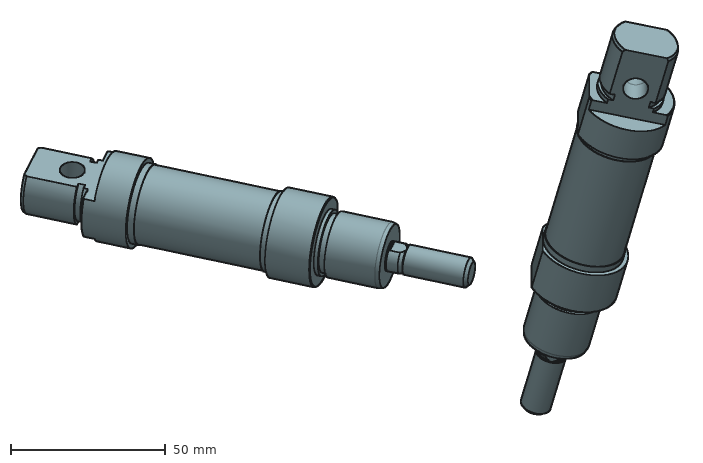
import cadquery as cq

OVERALL_LENGTH = 150.0

HEAD_DIAMETER = 30.0
HEAD_FLAT_Y = 13.5
HEAD_CHAMFER = 0.3
COLLAR_DIAMETER = 26.8
COLLAR_LENGTH = 2.2
NOSE_DIAMETER = 22.0
NOSE_CHAMFER_DEPTH = 0.5
RELIEF_DIAMETER = 19.8
RELIEF_WIDTH = 2.2

REAR_NOSE_LENGTH = 21.9
REAR_HEAD_LENGTH = 15.3
REAR_LAND_LENGTH = 1.5
REAR_CHAMFER_LENGTH = 1.0
TANG_LENGTH = 25.8
TANG_THICKNESS = 15.9
PIVOT_X = 14.1
PIVOT_DIAMETER = 8.1

TUBE_LENGTH = 42.9
TUBE_DIAMETER = 26.4

FRONT_HEAD_LENGTH = 15.3
FRONT_NOSE_LENGTH = 22.2
FRONT_LAND_LENGTH = 1.4
FRONT_CHAMFER_LENGTH = 1.5
SNOUT_LENGTH = 0.5

ROD_DIAMETER = 10.0
ROD_SHANK_LENGTH = 5.2
ROD_FLAT_OFFSET = 0.5
ROD_FLAT_WIDTH = 8.8
ROD_TAPER_LENGTH = 1.4
ROD_NECK_DIAMETER = 9.0
ROD_NECK_LENGTH = 0.3
ROD_TIP_CHAMFER = 1.2

REAR_HEAD_END = REAR_NOSE_LENGTH + REAR_HEAD_LENGTH
TUBE_START = REAR_HEAD_END + COLLAR_LENGTH
TUBE_END = TUBE_START + TUBE_LENGTH
FRONT_HEAD_START = TUBE_END + COLLAR_LENGTH
FRONT_HEAD_END = FRONT_HEAD_START + FRONT_HEAD_LENGTH
FRONT_NOSE_END = FRONT_HEAD_END + FRONT_NOSE_LENGTH
ROD_START = FRONT_NOSE_END + SNOUT_LENGTH


def cylinder(start, end, diameter):
    """Cylinder around the X axis between two stations."""
    return cq.Workplane("YZ", origin=(start, 0, 0)).circle(diameter / 2).extrude(end - start)


def slab(start, end, thickness, middle_y=0):
    """Block wider than the part in Y, between two X stations, of the given Z thickness."""
    return cq.Workplane("XY").box(end - start, 2 * HEAD_DIAMETER, thickness).translate(
        ((start + end) / 2, middle_y, 0)
    )


def outside_flats(start, end, width):
    """Two blocks that, cut away, leave parallel flats facing +Z and -Z."""
    around = slab(start, end, 2 * HEAD_DIAMETER)
    return around.cut(slab(start, end, width))


def head(start, end, chamfered_face):
    """Large round part of a cap, chamfered at its nose end and flat on its +Y side."""
    body = cylinder(start, end, HEAD_DIAMETER).faces(chamfered_face).chamfer(HEAD_CHAMFER)
    beyond_flat = slab(start, end, 2 * HEAD_DIAMETER, middle_y=HEAD_FLAT_Y + HEAD_DIAMETER)
    return body.cut(beyond_flat)


def nose(length, land_length, chamfer_length):
    """Mounting nose from X = 0 to its chamfered tip, with a relief groove after a short land."""
    radius = NOSE_DIAMETER / 2
    relief_radius = RELIEF_DIAMETER / 2
    relief_end = land_length + RELIEF_WIDTH
    profile = [
        (0, 0),
        (0, radius),
        (land_length, radius),
        (land_length, relief_radius),
        (relief_end, relief_radius),
        (relief_end, radius),
        (length - chamfer_length, radius),
        (length, radius - NOSE_CHAMFER_DEPTH),
        (length, 0),
    ]
    return cq.Workplane("XY").polyline(profile).close().revolve(360, (0, 0, 0), (1, 0, 0))


def make_rear_cap():
    """Rear end cap whose nose is flattened to a tang with a pivot hole along Z."""
    rear_nose = nose(REAR_NOSE_LENGTH, REAR_LAND_LENGTH, REAR_CHAMFER_LENGTH)
    rear_nose = rear_nose.mirror("YZ").translate((REAR_NOSE_LENGTH, 0, 0))
    cap = rear_nose.union(head(REAR_NOSE_LENGTH, REAR_HEAD_END, "<X"))
    cap = cap.union(cylinder(REAR_HEAD_END, TUBE_START, COLLAR_DIAMETER))
    cap = cap.cut(outside_flats(0, TANG_LENGTH, TANG_THICKNESS))
    pivot_hole = (
        cq.Workplane("XY")
        .center(PIVOT_X, 0)
        .circle(PIVOT_DIAMETER / 2)
        .extrude(TANG_THICKNESS, both=True)
    )
    return cap.cut(pivot_hole)


def make_tube():
    """Barrel between the collars of the two caps."""
    return cylinder(TUBE_START, TUBE_END, TUBE_DIAMETER)


def make_front_cap():
    """Front end cap with a short snout, as wide as the rod, where the rod leaves it."""
    front_nose = nose(FRONT_NOSE_LENGTH, FRONT_LAND_LENGTH, FRONT_CHAMFER_LENGTH)
    cap = front_nose.translate((FRONT_HEAD_END, 0, 0))
    cap = cap.union(head(FRONT_HEAD_START, FRONT_HEAD_END, ">X"))
    cap = cap.union(cylinder(TUBE_END, FRONT_HEAD_START, COLLAR_DIAMETER))
    snout = cylinder(FRONT_NOSE_END, ROD_START, ROD_DIAMETER)
    return cap.union(snout)


def make_rod():
    """Rod end with wrench flats on its shank, a tapered neck and a chamfered tip."""
    radius = ROD_DIAMETER / 2
    neck_radius = ROD_NECK_DIAMETER / 2
    neck_start = ROD_START + ROD_SHANK_LENGTH
    neck_end = neck_start + ROD_NECK_LENGTH
    taper_start = neck_start - ROD_TAPER_LENGTH
    profile = [
        (ROD_START, 0),
        (ROD_START, radius),
        (taper_start, radius),
        (neck_start, neck_radius),
        (neck_end, neck_radius),
        (neck_end, radius),
        (OVERALL_LENGTH - ROD_TIP_CHAMFER, radius),
        (OVERALL_LENGTH, radius - ROD_TIP_CHAMFER),
        (OVERALL_LENGTH, 0),
    ]
    rod = cq.Workplane("XY").polyline(profile).close().revolve(360, (0, 0, 0), (1, 0, 0))
    flat_start = ROD_START + ROD_FLAT_OFFSET
    return rod.cut(outside_flats(flat_start, neck_end, ROD_FLAT_WIDTH))


rear_cap = make_rear_cap()
tube = make_tube()
front_cap = make_front_cap()
rod = make_rod()

result = cq.Compound.makeCompound([rear_cap.val(), tube.val(), front_cap.val(), rod.val()])